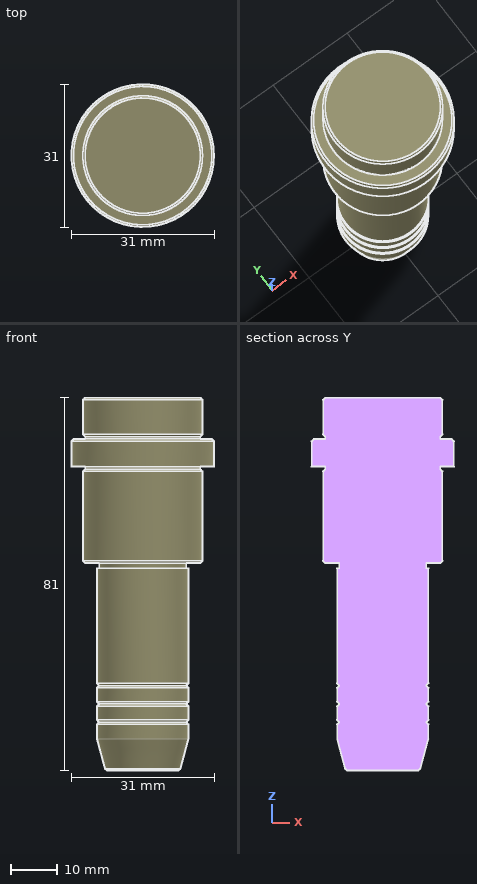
import cadquery as cq
import math

total_height = 81.0
head_diameter = 26.0
flange_diameter = 31.0
pin_diameter = 19.9

pin_top = 44.0
sleeve_bottom = 45.0
sleeve_top = 65.45
flange_bottom = 66.0
flange_top = 72.0
head_bottom = 72.5

edge_chamfer = 0.5
undercut_depth = 0.5

taper_length = 7.0
taper_angle = 15.0
tip_chamfer = 0.4

groove_width = 1.0
groove_depth = 0.5
lowest_groove_level = 10.5
groove_pitch = 4.0
groove_count = 3


def cylinder(diameter, bottom, top):
    """Upright cylinder between two levels on the Z axis."""
    return cq.Workplane("XY").workplane(offset=bottom).circle(diameter / 2).extrude(top - bottom)


def v_groove(level):
    """Ring of triangular section that cuts one groove into the pin."""
    pin_radius = pin_diameter / 2
    reach = groove_width
    return (
        cq.Workplane("XZ")
        .moveTo(pin_radius - groove_depth, level)
        .lineTo(pin_radius + groove_depth, level - reach)
        .lineTo(pin_radius + groove_depth, level + reach)
        .close()
        .revolve(360, (0, 0, 0), (0, 1, 0))
    )


tip_radius = pin_diameter / 2 - taper_length * math.tan(math.radians(taper_angle))
taper = (
    cq.Workplane("XZ")
    .lineTo(tip_radius, 0)
    .lineTo(pin_diameter / 2, taper_length)
    .lineTo(0, taper_length)
    .close()
    .revolve(360, (0, 0, 0), (0, 1, 0))
    .faces("<Z")
    .chamfer(tip_chamfer)
)
pin = taper.union(cylinder(pin_diameter, taper_length, pin_top))
for index in range(groove_count):
    pin = pin.cut(v_groove(lowest_groove_level + index * groove_pitch))

sleeve = cylinder(head_diameter, sleeve_bottom, sleeve_top).faces("<Z or >Z").chamfer(edge_chamfer)
flange = cylinder(flange_diameter, flange_bottom, flange_top).faces(">Z").chamfer(edge_chamfer)
head = cylinder(head_diameter, head_bottom, total_height).faces("<Z or >Z").chamfer(edge_chamfer)

pin_neck = cylinder(pin_diameter - 2 * undercut_depth, pin_top, sleeve_bottom)
sleeve_neck = cylinder(head_diameter - 2 * undercut_depth, sleeve_top, flange_bottom)
head_neck = cylinder(head_diameter - 2 * undercut_depth, flange_top, head_bottom)

result = pin
for section in (pin_neck, sleeve, sleeve_neck, flange, head_neck, head):
    result = result.union(section)